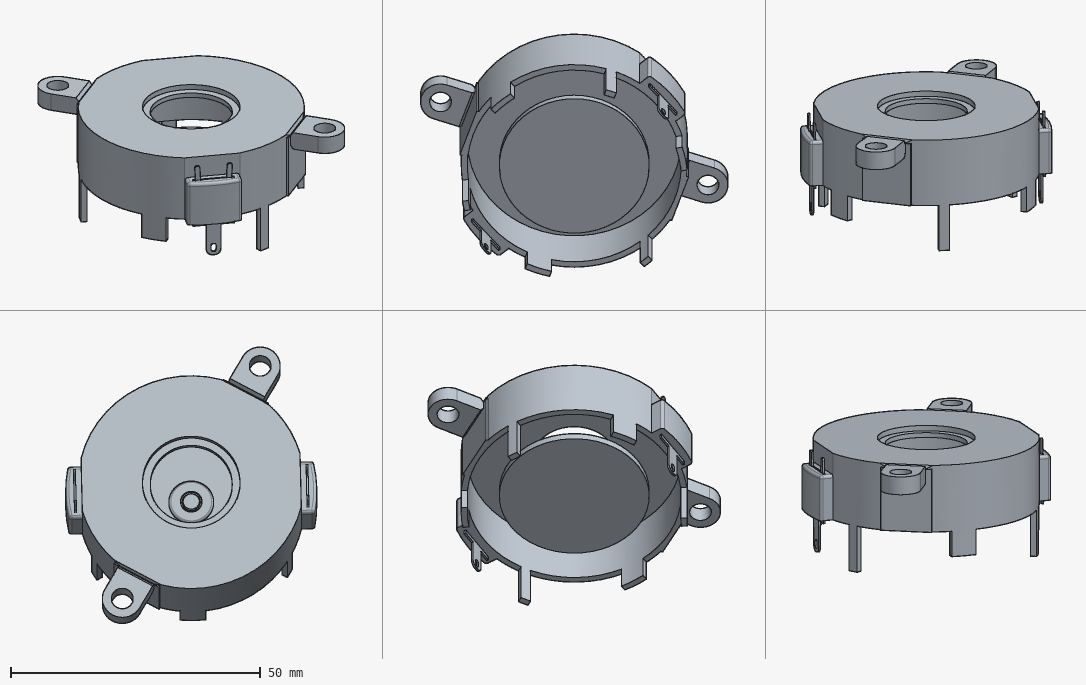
import cadquery as cq


OUTER_DIAMETER = 45.25
CAVITY_DIAMETER = 42.8
HOUSING_HEIGHT = 13.8
CAP_THICKNESS = 2.1
WINDOW_DIAMETER = 16.4
WINDOW_SEAT_DIAMETER = 19.5
WINDOW_SEAT_DEPTH = 1.1

PAD_FACE_X = 22.45
PAD_WIDTH = 10.35
PAD_STEP = 0.8
BEVEL_TOP_X = 22.0
BEVEL_BOTTOM_X = 22.3

OVERALL_LENGTH = 64.65
EAR_WIDTH = 8.0
EAR_THICKNESS = 3.7
EAR_HOLE_DIAMETER = 4.3
EAR_ROOT_CHAMFER_LENGTH = 0.6
EAR_ROOT_CHAMFER_HEIGHT = 0.85

WIDE_LEG_WIDTH = 5.2
WIDE_LEG_LENGTH = 5.25
WIDE_LEG_ANGLES = (30, 150, 270)
NARROW_LEG_WIDTH = 2.15
NARROW_LEG_LENGTH = 9.5
NARROW_LEG_ANGLES = (90, 210, 330)

BLOCK_ANGLES = (120.5, 300.5)
BLOCK_WIDTH = 11.1
BLOCK_OUTER_RADIUS = 25.15
BLOCK_HEIGHT = 9.3
BLOCK_EDGE_RADIUS = 0.65
FLAT_DISTANCE = 21.9
BLOCK_ROOT_DISTANCE = 21.65

TERMINAL_DISTANCE = 23.3
TERMINAL_THICKNESS = 0.4
TERMINAL_WIDTH = 8.4
SHOULDER_DROP = 1.0
TAB_WIDTH = 3.0
TAB_LENGTH = 7.75
TAB_CORNER_RADIUS = 1.3
TAB_SLOT_WIDTH = 1.05
TAB_SLOT_LENGTH = 1.8
TAB_SLOT_DROP = 6.15
PRONG_SPACING = 6.35
PRONG_WIDTH = 1.05
PRONG_CORNER_RADIUS = 0.45
PRONG_LEAN_ANGLE = 3
PRONG_TOP = 12.4
SLOT_DEPTH = 0.5

DISC_DIAMETER = 30.0
DISC_THICKNESS = 1.6
BOSS_DIAMETER = 9.0
BOSS_HEIGHT = 0.65
BOSS_EDGE_RADIUS = 0.4
GROOVE_TOP_OUTER_DIAMETER = 4.3
GROOVE_FLOOR_OUTER_DIAMETER = 4.2
GROOVE_FLOOR_INNER_DIAMETER = 3.6
GROOVE_TOP_INNER_DIAMETER = 3.25
GROOVE_DEPTH = 0.4

OUTER_RADIUS = OUTER_DIAMETER / 2
CAVITY_RADIUS = CAVITY_DIAMETER / 2
CAP_UNDERSIDE = HOUSING_HEIGHT - CAP_THICKNESS


def cylinder(diameter, height, bottom):
    """Upright cylinder about the Z axis."""
    return cq.Workplane("XY").workplane(offset=bottom).circle(diameter / 2).extrude(height)


def block(x_min, x_max, width, z_min, z_max):
    """Rectangular block centred on the XZ plane."""
    return (
        cq.Workplane("XY")
        .box(x_max - x_min, width, z_max - z_min, centered=(False, True, False))
        .translate((x_min, 0, z_min))
    )


def turned(shape, angle):
    """Shape turned about the Z axis."""
    return shape.rotate((0, 0, 0), (0, 0, 1), angle)


def make_pad():
    """Flat-faced side pad on +X, ending a step below the top of the housing."""
    return block(CAVITY_RADIUS / 2, PAD_FACE_X, PAD_WIDTH, 0, HOUSING_HEIGHT - PAD_STEP)


def make_pad_trim():
    """Material of the round wall on +X that stands outside the pad and the bevel above it."""
    beyond_x = 2 * PAD_FACE_X - BEVEL_TOP_X
    z_step = HOUSING_HEIGHT - PAD_STEP
    return (
        cq.Workplane("XZ")
        .moveTo(PAD_FACE_X, 0)
        .lineTo(PAD_FACE_X, z_step)
        .lineTo(BEVEL_BOTTOM_X, z_step)
        .lineTo(BEVEL_TOP_X, HOUSING_HEIGHT)
        .lineTo(beyond_x, HOUSING_HEIGHT)
        .lineTo(beyond_x, 0)
        .close()
        .extrude(OUTER_RADIUS, both=True)
    )


def make_ear():
    """Ear on +X with a rounded outer end and a root bevelled above and below."""
    ear_radius = EAR_WIDTH / 2
    hole_x = OVERALL_LENGTH / 2 - ear_radius
    z_top = HOUSING_HEIGHT
    z_bottom = z_top - EAR_THICKNESS
    bevel_end_x = PAD_FACE_X + EAR_ROOT_CHAMFER_LENGTH
    tongue = (
        cq.Workplane("XZ")
        .moveTo(hole_x, z_top)
        .lineTo(bevel_end_x, z_top)
        .lineTo(PAD_FACE_X, z_top - EAR_ROOT_CHAMFER_HEIGHT)
        .lineTo(PAD_FACE_X, z_bottom + EAR_ROOT_CHAMFER_HEIGHT)
        .lineTo(bevel_end_x, z_bottom)
        .lineTo(hole_x, z_bottom)
        .close()
        .extrude(ear_radius, both=True)
    )
    end = cylinder(EAR_WIDTH, EAR_THICKNESS, z_bottom).translate((hole_x, 0, 0))
    hole = cylinder(EAR_HOLE_DIAMETER, EAR_THICKNESS, z_bottom).translate((hole_x, 0, 0))
    return tongue.union(end).cut(hole)


def make_leg(width, length):
    """Leg on +X below the wall, left solid inwards until the cavity is cut."""
    leg = cylinder(OUTER_DIAMETER, length, -length)
    return leg.intersect(block(CAVITY_RADIUS / 2, OUTER_RADIUS, width, -length, 0))


def make_flat_trim():
    """Segment on +X cut off the round wall to leave a flat."""
    return block(FLAT_DISTANCE, OUTER_RADIUS, OUTER_DIAMETER, 0, HOUSING_HEIGHT)


def terminal_plate(width, z_min, z_max):
    """Upright plate in the plane of the terminal on +X."""
    half_thickness = TERMINAL_THICKNESS / 2
    return block(TERMINAL_DISTANCE - half_thickness, TERMINAL_DISTANCE + half_thickness, width, z_min, z_max)


def make_terminal_block():
    """Terminal block on +X, rounded on its outer upright and top edges, slotted on top."""
    body = block(BLOCK_ROOT_DISTANCE, 2 * OUTER_RADIUS, BLOCK_WIDTH, 0, BLOCK_HEIGHT)
    body = body.intersect(turned(cylinder(2 * BLOCK_OUTER_RADIUS, BLOCK_HEIGHT, 0), 180))
    body = body.edges("|Z").edges(">X").fillet(BLOCK_EDGE_RADIUS)
    body = body.faces(">Z").edges("not <X").fillet(BLOCK_EDGE_RADIUS)
    slot = terminal_plate(TERMINAL_WIDTH, BLOCK_HEIGHT - SLOT_DEPTH, BLOCK_HEIGHT)
    return body.cut(slot)


def make_terminal():
    """Terminal on +X, rooted in the terminal block, its prongs leaning apart."""
    slot_floor = BLOCK_HEIGHT - SLOT_DEPTH
    shoulder = terminal_plate(TERMINAL_WIDTH, -SHOULDER_DROP, slot_floor)
    tab = terminal_plate(TAB_WIDTH, -TAB_LENGTH, 0).edges("|X and <Z").fillet(TAB_CORNER_RADIUS)
    tab_slot = (
        cq.Workplane("YZ")
        .center(0, -TAB_SLOT_DROP)
        .slot2D(TAB_SLOT_LENGTH, TAB_SLOT_WIDTH, 90)
        .extrude(2 * TERMINAL_DISTANCE)
    )
    terminal = shoulder.union(tab.cut(tab_slot))
    prong = terminal_plate(PRONG_WIDTH, slot_floor - PRONG_WIDTH, PRONG_TOP)
    prong = prong.edges("|X and >Z").fillet(PRONG_CORNER_RADIUS)
    for side in (-1, 1):
        leaning_prong = prong.rotate(
            (0, 0, BLOCK_HEIGHT), (1, 0, BLOCK_HEIGHT), -side * PRONG_LEAN_ANGLE
        )
        terminal = terminal.union(leaning_prong.translate((0, side * PRONG_SPACING / 2, 0)))
    return terminal


def make_housing():
    """Housing shell with its ears, legs, terminal blocks and terminals."""
    housing = cylinder(OUTER_DIAMETER, HOUSING_HEIGHT, 0)
    for angle in (0, 180):
        housing = housing.cut(turned(make_pad_trim(), angle))
        housing = housing.union(turned(make_pad(), angle))
        housing = housing.union(turned(make_ear(), angle))
    for angle in BLOCK_ANGLES:
        housing = housing.cut(turned(make_flat_trim(), angle))

    for angle in WIDE_LEG_ANGLES:
        housing = housing.union(turned(make_leg(WIDE_LEG_WIDTH, WIDE_LEG_LENGTH), angle))
    for angle in NARROW_LEG_ANGLES:
        housing = housing.union(turned(make_leg(NARROW_LEG_WIDTH, NARROW_LEG_LENGTH), angle))

    cavity_height = CAP_UNDERSIDE + NARROW_LEG_LENGTH
    housing = housing.cut(cylinder(CAVITY_DIAMETER, cavity_height, -NARROW_LEG_LENGTH))

    housing = housing.cut(cylinder(WINDOW_DIAMETER, HOUSING_HEIGHT, 0))
    seat_floor = HOUSING_HEIGHT - WINDOW_SEAT_DEPTH
    housing = housing.cut(cylinder(WINDOW_SEAT_DIAMETER, WINDOW_SEAT_DEPTH, seat_floor))

    for angle in BLOCK_ANGLES:
        housing = housing.union(turned(make_terminal_block(), angle))
        housing = housing.union(turned(make_terminal(), angle))
    return housing


def make_disc():
    """Disc with a low rounded boss with a ring groove in its top."""
    disc = cylinder(DISC_DIAMETER, DISC_THICKNESS, 0)
    boss = cylinder(BOSS_DIAMETER, BOSS_HEIGHT, DISC_THICKNESS).faces(">Z").edges().fillet(BOSS_EDGE_RADIUS)
    boss_top = DISC_THICKNESS + BOSS_HEIGHT
    groove_floor = boss_top - GROOVE_DEPTH
    groove = (
        cq.Workplane("XZ")
        .moveTo(GROOVE_TOP_OUTER_DIAMETER / 2, boss_top)
        .lineTo(GROOVE_FLOOR_OUTER_DIAMETER / 2, groove_floor)
        .lineTo(GROOVE_FLOOR_INNER_DIAMETER / 2, groove_floor)
        .lineTo(GROOVE_TOP_INNER_DIAMETER / 2, boss_top)
        .close()
        .revolve(360, (0, 0, 0), (0, 1, 0))
    )
    return disc.union(boss).cut(groove)


housing = make_housing()
disc = make_disc()

result = cq.Compound.makeCompound([housing.val(), disc.val()])